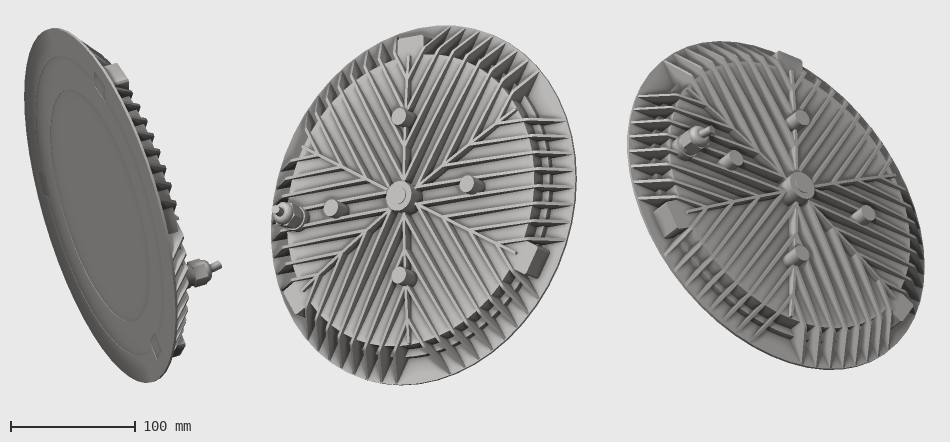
import cadquery as cq
import math

size_y = 58.5
face_y = -size_y / 2

flange_radius = 147.5
flange_height = 2.0
lower_drum_radius = 126.0
lower_drum_height = 7.5
drum_radius = 119.8
drum_height = 20.0

lens_ring_radius = 124.8
lens_radius = 96.8
face_step = 0.3

fin_groups = 6
group_angle = 360 / fin_groups
fins_per_group = 8
fin_pitch = 14.2
fin_thickness = 2.5
fin_root_height = flange_height / 2
rib_length = 119.5
fin_foot_radius = 146.5
fin_shoulder_radius = 124.8
fin_shoulder_height = 22.5
fin_top_height = 29.8
fin_shoulder_fillet = 6

clip_angles = (90, 210, 330)
clip_width = 20.6
clip_inner = 117.7
clip_outer = 134.2
clip_corner = 3
hood_width = 24.8
hood_outer = 135.7
hood_chamfer = 1.5

boss_circle_radius = 65.8
boss_count = 4
boss_diameter = 14.0
boss_height = 37.0
hub_diameter = 24.5
hub_pin_height = 37.8

gland_x = 107.5
collar_diameter = 20.0
collar_height = 27.5
neck_diameter = 17.7
hex_bottom = 32.0
hex_top = 42.5
hex_sides = 6
hex_corner_diameter = 21.5
hex_turn = 15
cap_diameter = 18.3
cap_top = 47.8
cap_fillet = 4.5
cable_diameter = 6.8
cable_tilt = 12


def plane_at(height):
    """Plane facing +Y at a height above the light face, with local x = -X and local y = Z."""
    return cq.Plane(origin=(0, face_y + height, 0), xDir=(-1, 0, 0), normal=(0, 1, 0))


def disc(diameter, bottom, top, x=0):
    """Cylinder along Y between two heights, with its axis at Z = 0."""
    return cq.Workplane(plane_at(bottom)).center(-x, 0).circle(diameter / 2).extrude(top - bottom)


def around_axis(body, angle):
    """Turn a body about the lamp axis, from +X toward +Z."""
    return body.rotate((0, 0, 0), (0, 1, 0), -angle)


def make_base():
    flange = disc(2 * flange_radius, 0, flange_height)
    lower_drum = disc(2 * lower_drum_radius, 0, lower_drum_height)
    return flange.union(lower_drum).union(disc(2 * drum_radius, 0, drum_height))


def fin_envelope():
    """Domed solid of revolution that bounds every fin."""
    dome_rise = fin_top_height - fin_shoulder_height
    dome_radius = (fin_shoulder_radius**2 + dome_rise**2) / (2 * dome_rise)
    middle_x = fin_shoulder_radius / 2
    middle_height = fin_top_height - dome_radius + math.sqrt(dome_radius**2 - middle_x**2)
    return (
        cq.Workplane("XY", origin=(0, face_y, 0))
        .lineTo(fin_foot_radius, 0)
        .lineTo(fin_foot_radius, flange_height)
        .lineTo(fin_shoulder_radius, fin_shoulder_height)
        .threePointArc((middle_x, middle_height), (0, fin_top_height))
        .close()
        .revolve(360, (0, 0, 0), (0, 1, 0))
        .edges(cq.selectors.RadiusNthSelector(0))
        .fillet(fin_shoulder_fillet)
    )


def upright_plate(length):
    """Radial plate along +X, rooted inside the flange and as tall as the fins."""
    return (
        cq.Workplane("XY")
        .box(length, fin_top_height - fin_root_height, fin_thickness, centered=(False, False, True))
        .translate((0, face_y + fin_root_height, 0))
    )


def make_fin_group():
    """Fins parallel to X, kept inside the wedge that is centred on +X."""
    half_width = flange_radius * math.tan(math.radians(group_angle / 2))
    wedge = (
        cq.Workplane(plane_at(0))
        .polyline([(0, 0), (-flange_radius, -half_width), (-flange_radius, half_width)])
        .close()
        .extrude(fin_top_height)
    )
    plate = upright_plate(flange_radius)
    first_z = -(fins_per_group - 1) / 2 * fin_pitch
    fins = cq.Workplane("XY")
    for index in range(fins_per_group):
        fins = fins.add(plate.translate((0, 0, first_z + index * fin_pitch)))
    return fins.combine().intersect(wedge)


def make_fins():
    """All fin groups and the radial ribs between them, trimmed to the domed envelope."""
    group = make_fin_group()
    rib = upright_plate(rib_length)
    fins = cq.Workplane("XY")
    for index in range(fin_groups):
        fins = fins.add(around_axis(group, index * group_angle))
        fins = fins.add(around_axis(rib, (index + 0.5) * group_angle))
    return fins.combine(clean=False).intersect(fin_envelope(), clean=False)


def make_hood():
    """Box over a clip, on +X, with its outer upright edges chamfered."""
    return (
        cq.Workplane("XY")
        .box(hood_outer, drum_height, hood_width, centered=(False, False, True))
        .edges("|Y and >X")
        .chamfer(hood_chamfer)
        .translate((0, face_y, 0))
    )


def make_clip_recess():
    """Shallow clip outline in the light face, on +X, rounded at its inner corners."""
    depth = 2 * face_step
    return (
        cq.Workplane("XY")
        .box(clip_outer - clip_inner, depth, clip_width, centered=(False, False, True))
        .edges("|Y and <X")
        .fillet(clip_corner)
        .translate((clip_inner, face_y, 0))
    )


def make_bosses():
    bosses = disc(hub_diameter, 0, boss_height).union(disc(boss_diameter, 0, hub_pin_height))
    boss = disc(boss_diameter, 0, boss_height, x=boss_circle_radius)
    for index in range(boss_count):
        bosses = bosses.union(around_axis(boss, index * 360 / boss_count))
    return bosses


def make_gland():
    collar = disc(collar_diameter, 0, collar_height, x=gland_x)
    neck = disc(neck_diameter, 0, hex_bottom, x=gland_x)
    nut = (
        cq.Workplane(plane_at(hex_bottom))
        .polygon(hex_sides, hex_corner_diameter)
        .extrude(hex_top - hex_bottom)
    )
    nut = around_axis(nut, hex_turn).translate((gland_x, 0, 0))
    cap = disc(cap_diameter, hex_top, cap_top, x=gland_x).faces(">Y").edges().fillet(cap_fillet)
    return collar.union(neck).union(nut).union(cap)


def make_cable():
    """Cable stub leaning toward -X; the raised rim of its end is the highest point."""
    tilt = math.radians(cable_tilt)
    rim_rise = cable_diameter / 2 * math.sin(tilt)
    length = (size_y - hex_top - rim_rise) / math.cos(tilt)
    stub = disc(cable_diameter, hex_top, hex_top + length)
    base_y = face_y + hex_top
    stub = stub.rotate((0, base_y, 0), (0, base_y, 1), cable_tilt)
    return stub.translate((gland_x + (cap_top - hex_top) * math.tan(tilt), 0, 0))


result = make_base().union(make_fins(), clean=False)

for clip_angle in clip_angles:
    result = result.union(around_axis(make_hood(), clip_angle), clean=False)

result = result.union(make_bosses(), clean=False)
result = result.union(make_gland().union(make_cable()), clean=False)

face_recess = disc(2 * lens_ring_radius, 0, face_step).union(disc(2 * lens_radius, 0, 2 * face_step))
for clip_angle in clip_angles:
    face_recess = face_recess.union(around_axis(make_clip_recess(), clip_angle))
result = result.cut(face_recess)